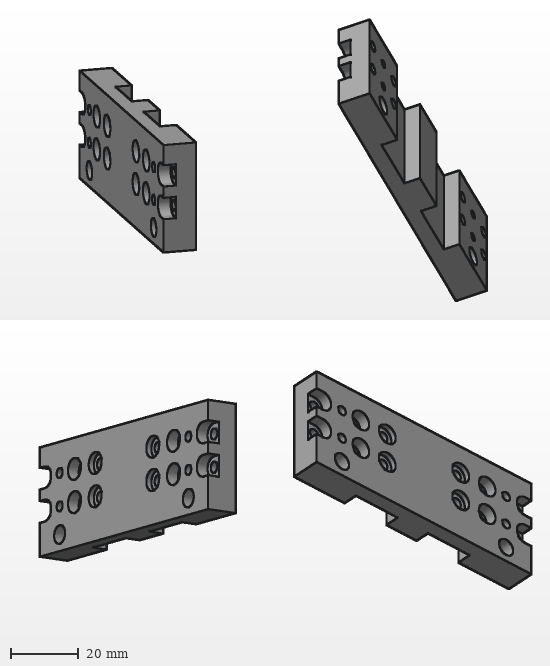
import cadquery as cq

LENGTH = 85.0
THICKNESS = 10.0
HEIGHT = 33.0

RIB_WIDTH = 12.0
CHANNEL_WIDTH = 16.5
CHANNEL_DEPTH = THICKNESS / 2

LOWER_ROW_Z = 13.5
ROW_PITCH = 10.0
ROW_HEIGHTS = (LOWER_ROW_Z, LOWER_ROW_Z + ROW_PITCH)
MOUNTING_ROW_Z = 5.0

EDGE_COLUMN_X = 40.0
CORNER_COLUMN_X = 32.5
DEEP_COLUMN_X = 25.0
SHALLOW_COLUMN_X = 14.5

SCREW_DIAMETER = 3.3
HEAD_DIAMETER = 6.55
DEEP_HEAD_DEPTH = 3.9
SHALLOW_HEAD_DEPTH = 1.9

STEPPED_FRONT_DIAMETER = 3.0
STEPPED_BACK_DIAMETER = 2.5
STEPPED_FRONT_DEPTH = THICKNESS / 2

MOUNTING_DIAMETER = 5.5


def bore(x, z, diameter, depth):
    """Cylinder running back from the front face."""
    return cq.Workplane("XZ", origin=(x, 0, z)).circle(diameter / 2).extrude(-depth)


def stepped_bore(x, z, front_diameter, front_depth, back_diameter):
    """Through hole that is wider over its front part."""
    front = bore(x, z, front_diameter, front_depth)
    return front.union(bore(x, z, back_diameter, THICKNESS))


def edge_relief(side, z):
    """Slot that opens an edge screw's head recess through the end face."""
    span = LENGTH / 2 - EDGE_COLUMN_X
    center_x = side * (EDGE_COLUMN_X + span / 2)
    slot = cq.Workplane("XY").box(span, DEEP_HEAD_DEPTH, HEAD_DIAMETER, centered=(True, False, True))
    return slot.translate((center_x, 0, z))


def channel(side):
    """Full-height channel in the back face."""
    center_x = side * (RIB_WIDTH + CHANNEL_WIDTH) / 2
    block = cq.Workplane("XY").box(CHANNEL_WIDTH, CHANNEL_DEPTH, HEIGHT, centered=(True, False, False))
    return block.translate((center_x, THICKNESS - CHANNEL_DEPTH, 0))


def screw_hole(x, z, head_depth):
    """Counterbored screw hole."""
    return stepped_bore(x, z, HEAD_DIAMETER, head_depth, SCREW_DIAMETER)


def small_stepped_hole(x, z):
    """Narrow through hole, slightly wider over its front part."""
    return stepped_bore(x, z, STEPPED_FRONT_DIAMETER, STEPPED_FRONT_DEPTH, STEPPED_BACK_DIAMETER)


result = cq.Workplane("XY").box(LENGTH, THICKNESS, HEIGHT, centered=(True, False, False))

for side in (-1, 1):
    result = result.cut(channel(side))
    result = result.cut(bore(side * CORNER_COLUMN_X, MOUNTING_ROW_Z, MOUNTING_DIAMETER, THICKNESS))
    for z in ROW_HEIGHTS:
        result = result.cut(screw_hole(side * EDGE_COLUMN_X, z, DEEP_HEAD_DEPTH))
        result = result.cut(edge_relief(side, z))
        result = result.cut(small_stepped_hole(side * CORNER_COLUMN_X, z))
        result = result.cut(screw_hole(side * DEEP_COLUMN_X, z, DEEP_HEAD_DEPTH))
        result = result.cut(screw_hole(side * SHALLOW_COLUMN_X, z, SHALLOW_HEAD_DEPTH))